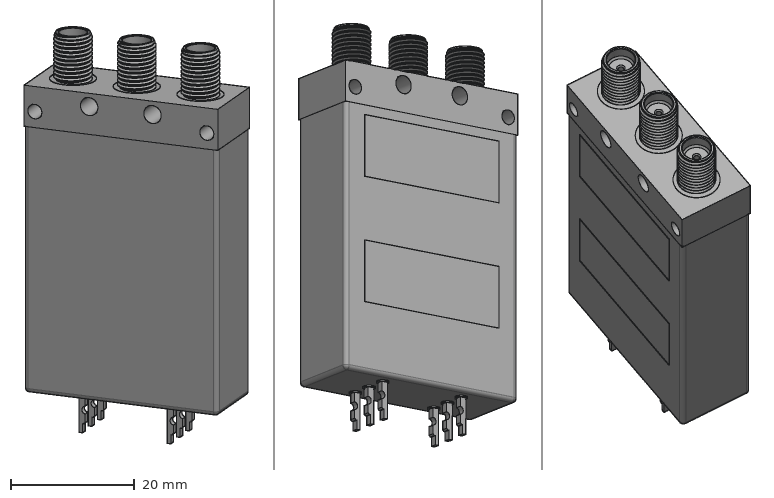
import cadquery as cq
total_height = 66.25
total_depth = 13.3
pad_thickness = 0.1
body_width = 34.05
body_depth = total_depth - pad_thickness

header_top = 58.35
header_height = 6.95
header_bottom = header_top - header_height
inner_hole_diameter = 3.05
inner_hole_x = 5.55
inner_hole_z = 56.1
outer_hole_diameter = 2.45
outer_hole_x = 15.1
outer_hole_z = 54.1

connector_count = 3
connector_pitch = 11.2
seat_diameter = 7.6
seat_depth = 0.05
thread_diameter = 6.3
thread_root_diameter = 5.55
thread_pitch = 0.7
crest_flat = 0.05
ridge_sink = 0.05
envelope_clearance = 0.25
tip_taper_length = 0.9
root_flat = 0.04
bore_diameter = 4.65
bore_mouth_chamfer = 0.1
bore_floor_chamfer = 0.3
bore_depth = 2.2
contact_hole_diameter = 0.9
contact_hole_depth = 2.0
contact_countersink_diameter = 1.4

can_bottom = 6.35
can_edge_radius = 0.7

terminal_x = 7.75
terminal_pitch_y = 3.85
terminal_rows = 3
terminal_width = 1.1
tip_width = 0.65
hook_bottom = 1.5
hook_chamfer = 0.25
notch_radius = 0.65
notch_height = 3.9
notch_offset = 0.05
collar_diameter = 2.05
collar_thickness = 0.2

pad_width = 26.5
pad_length = 10.4
pad_bottoms = (18.2, 39.35)


def centred_positions(count, pitch):
    """Evenly spaced positions, symmetric about zero."""
    return [(i - (count - 1) / 2) * pitch for i in range(count)]


def cylinder(diameter, bottom, top):
    """Cylinder on the Z axis between two heights."""
    return cq.Workplane("XY", origin=(0, 0, bottom)).circle(diameter / 2).extrude(top - bottom)


def upright_box(size_x, size_y, bottom, top):
    """Box centred on the Z axis between two heights."""
    return cq.Workplane("XY", origin=(0, 0, bottom)).rect(size_x, size_y).extrude(top - bottom)


def revolve_about_z(half_profile):
    """Solid of revolution from (radius, height) points."""
    outline = cq.Workplane("XZ").polyline(half_profile).close()
    return outline.revolve(360, (0, 0, 0), (0, 1, 0))


def make_thread_ridge(bottom, top):
    """Right-handed helical ridge whose base is sunk into the barrel so that the two join."""
    base_radius = thread_root_diameter / 2 - ridge_sink
    ridge_height = thread_diameter / 2 - base_radius
    half_base = (thread_pitch - root_flat) / 2
    half_crest = crest_flat / 2
    helix = cq.Wire.makeHelix(thread_pitch, top - bottom, base_radius)
    profile = cq.Workplane("XZ", origin=(base_radius, 0, 0)).polyline([
        (0, -half_base),
        (ridge_height, -half_crest),
        (ridge_height, half_crest),
        (0, half_base),
    ]).close()
    return profile.sweep(cq.Workplane(helix), isFrenet=True).translate((0, 0, bottom))


def make_tapered_envelope(diameter, tip_inset, bottom):
    """Cylinder that narrows at its upper end, trimming the thread to a tapered tip."""
    radius = diameter / 2
    half_profile = [
        (0, bottom),
        (radius, bottom),
        (radius, total_height - tip_taper_length),
        (radius - tip_inset, total_height),
        (0, total_height),
    ]
    return revolve_about_z(half_profile)


def make_connector():
    """Threaded barrel with a tapered tip, a stepped bore and a central contact hole."""
    seat = header_top - seat_depth
    thread_run_out = 2 * thread_pitch
    envelope_diameter = thread_diameter + envelope_clearance
    tip_inset = (envelope_diameter - thread_root_diameter) / 2
    barrel = cylinder(thread_root_diameter, seat - thread_run_out, total_height + thread_run_out)
    ridge = make_thread_ridge(seat - thread_pitch, total_height + thread_pitch)
    envelope = make_tapered_envelope(envelope_diameter, tip_inset, seat)
    connector = barrel.union(ridge).intersect(envelope)
    return connector.cut(make_connector_bore())


def make_connector_bore():
    """Negative of the bore: mouth chamfer, coned floor and countersunk contact hole."""
    floor = total_height - bore_depth
    countersink_depth = (contact_countersink_diameter - contact_hole_diameter) / 2
    mouth_radius = bore_diameter / 2 + bore_mouth_chamfer
    half_profile = [
        (0, floor - contact_hole_depth),
        (contact_hole_diameter / 2, floor - contact_hole_depth),
        (contact_hole_diameter / 2, floor - countersink_depth),
        (contact_countersink_diameter / 2, floor),
        (bore_diameter / 2 - bore_floor_chamfer, floor),
        (bore_diameter / 2, floor + bore_floor_chamfer),
        (bore_diameter / 2, total_height - bore_mouth_chamfer),
        (mouth_radius, total_height),
        (0, total_height),
    ]
    return revolve_about_z(half_profile)


def make_cross_holes(diameter, x, z):
    """Pair of holes through the header along Y, mirrored about the middle."""
    holes = cq.Workplane("XZ").pushPoints([(-x, z), (x, z)]).circle(diameter / 2)
    return holes.extrude(body_depth, both=True)


def make_header():
    """Header block with its cross holes and the connectors standing in shallow round seats."""
    header = upright_box(body_width, body_depth, header_bottom, header_top)
    header = header.cut(make_cross_holes(inner_hole_diameter, inner_hole_x, inner_hole_z))
    header = header.cut(make_cross_holes(outer_hole_diameter, outer_hole_x, outer_hole_z))
    seat = cylinder(seat_diameter, header_top - seat_depth, header_top)
    connector = make_connector()
    for x in centred_positions(connector_count, connector_pitch):
        header = header.cut(seat.translate((x, 0, 0)))
        header = header.union(connector.translate((x, 0, 0)))
    return header


def make_terminal():
    """Flat hooked terminal with a narrow tip, a round notch and a collar against the can."""
    left = -terminal_width / 2
    right = terminal_width / 2
    tip_right = left + tip_width
    blade = cq.Workplane("XZ").polyline([
        (left, 0),
        (tip_right, 0),
        (tip_right, hook_bottom),
        (right - hook_chamfer, hook_bottom),
        (right, hook_bottom + hook_chamfer),
        (right, can_bottom),
        (left, can_bottom),
    ]).close().extrude(terminal_width / 2, both=True)
    notch = cq.Workplane("XZ").center(right + notch_offset, notch_height).circle(notch_radius)
    blade = blade.cut(notch.extrude(terminal_width, both=True))
    return blade.union(cylinder(collar_diameter, can_bottom - collar_thickness, can_bottom))


def make_can():
    """Rounded can with its terminals below and two raised pads on the back."""
    can = upright_box(body_width, body_depth, can_bottom, header_bottom)
    can = can.edges("|Z or <Z").fillet(can_edge_radius)
    terminal = make_terminal()
    for x in (-terminal_x, terminal_x):
        for y in centred_positions(terminal_rows, terminal_pitch_y):
            can = can.union(terminal.translate((x, y, 0)))
    for bottom in pad_bottoms:
        pad = upright_box(pad_width, pad_thickness, bottom, bottom + pad_length)
        can = can.union(pad.translate((0, (body_depth + pad_thickness) / 2, 0)))
    return can


shift_to_centre = (0, -pad_thickness / 2, 0)
header = make_header().translate(shift_to_centre)
can = make_can().translate(shift_to_centre)
result = cq.Compound.makeCompound([header.val(), can.val()])